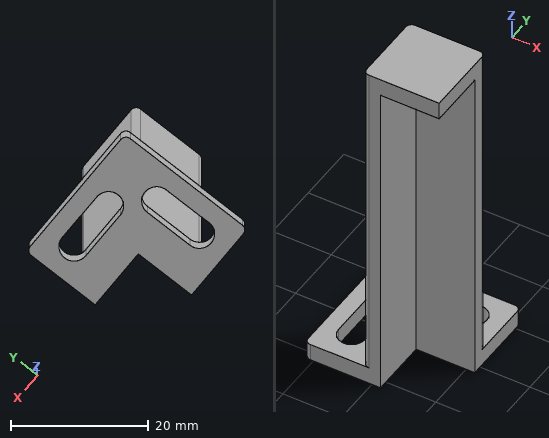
import cadquery as cq

side = 23.0
height = 59.67
thickness = 3.0
post_side = 13.0
corner_radius = 1.0
slot_length = 12.4
slot_width = 4.4
slot_edge_offset = 5.0
slot_centre_offset = 9.0

pocket_side = post_side - thickness


def block(edge, block_height):
    """Upright square block standing on Z = 0 in the +X/-Y corner of the footprint."""
    return cq.Workplane("XY").box(edge, edge, block_height, centered=False).translate((side - edge, 0, 0))


def rounded_block(edge, block_height):
    """Block with every vertical edge rounded except the shared +X/-Y one."""
    return block(edge, block_height).edges("|Z").edges("<X or >Y").fillet(corner_radius)


def slot(x_centre, y_centre, angle):
    """Cutter for a round-ended slot through the base."""
    return (
        cq.Workplane("XY")
        .center(x_centre, y_centre)
        .slot2D(slot_length, slot_width, angle)
        .extrude(thickness)
    )


base = rounded_block(side, thickness)
post = rounded_block(post_side, height)
body = base.union(post)

pocket = block(pocket_side, height - thickness)
body = body.cut(pocket)

slot_along_x = slot(side - slot_centre_offset, side - slot_edge_offset, 0)
slot_along_y = slot(slot_edge_offset, slot_centre_offset, 90)
result = body.cut(slot_along_x).cut(slot_along_y)